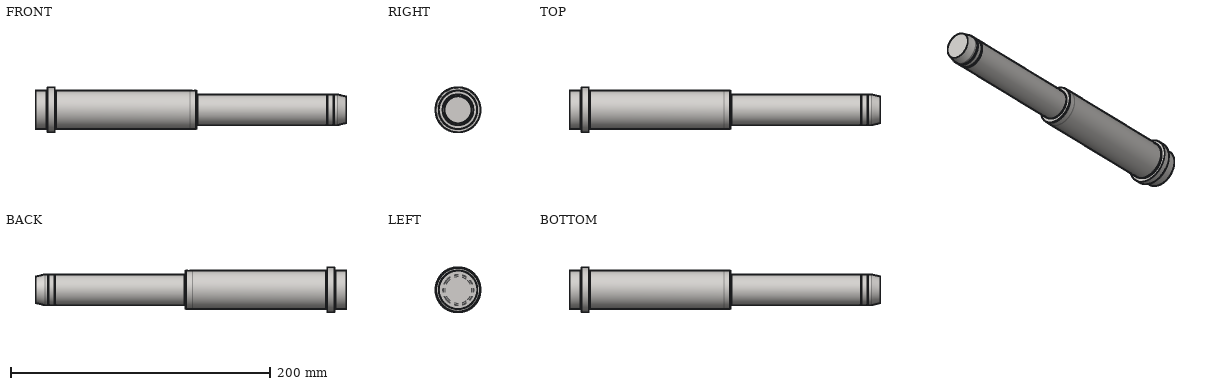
import cadquery as cq

length = 240
x_start = -length / 2

body_diameter = 30.0
flange_diameter = 35.0
pin_diameter = 24
tip_diameter = 20.6

flange_start = 9.0
flange_end = 15.0
lead_start = 119.0
body_end = 124.3
tip_start = 233.0

head_chamfer = 0.2
flange_chamfer = 0.7
lead_drop = 0.07
end_bevel_length = 0.7
end_bevel_drop = 0.2
undercut_depth = 0.2
head_undercut_width = 0.7
body_undercut_width = 1.2
pin_undercut_width = 0.7
pin_groove_starts = (224.6, 229.7)
pin_groove_width = 0.7
pin_groove_depth = 0.5


def cylinder(diameter, start, end):
    """Solid cylinder on the shaft axis between two stations."""
    plane = cq.Workplane("YZ", origin=(x_start + start, 0, 0))
    return plane.circle(diameter / 2).extrude(end - start)


def cone(start_diameter, end_diameter, start, end):
    """Solid frustum on the shaft axis between two stations."""
    profile = [
        (x_start + start, 0),
        (x_start + start, start_diameter / 2),
        (x_start + end, end_diameter / 2),
        (x_start + end, 0),
    ]
    return cq.Workplane("XY").polyline(profile).close().revolve(360, (0, 0, 0), (1, 0, 0))


def groove(diameter, depth, start, width):
    """Ring to cut from a cylinder of the given diameter."""
    outer = cylinder(diameter + 2 * depth, start, start + width)
    return outer.cut(cylinder(diameter - 2 * depth, start, start + width))


lead_diameter = body_diameter - 2 * lead_drop
bevel_start = body_end - end_bevel_length
bevel_diameter = lead_diameter - 2 * end_bevel_drop
body = cylinder(body_diameter, 0, lead_start)
body = body.faces("<X").edges().chamfer(head_chamfer)
body = body.union(cone(body_diameter, lead_diameter, lead_start, bevel_start))
body = body.union(cone(lead_diameter, bevel_diameter, bevel_start, body_end))

head_undercut_start = flange_start - head_undercut_width
body = body.cut(groove(body_diameter, undercut_depth, head_undercut_start, head_undercut_width))
body = body.cut(groove(body_diameter, undercut_depth, flange_end, body_undercut_width))

flange = cylinder(flange_diameter, flange_start, flange_end)
flange = flange.faces("<X").edges().chamfer(flange_chamfer)

pin = cylinder(pin_diameter, body_end, tip_start)
pin = pin.union(cone(pin_diameter, tip_diameter, tip_start, length))
pin = pin.cut(groove(pin_diameter, undercut_depth, body_end, pin_undercut_width))
for start in pin_groove_starts:
    pin = pin.cut(groove(pin_diameter, pin_groove_depth, start, pin_groove_width))

result = body.union(flange).union(pin)